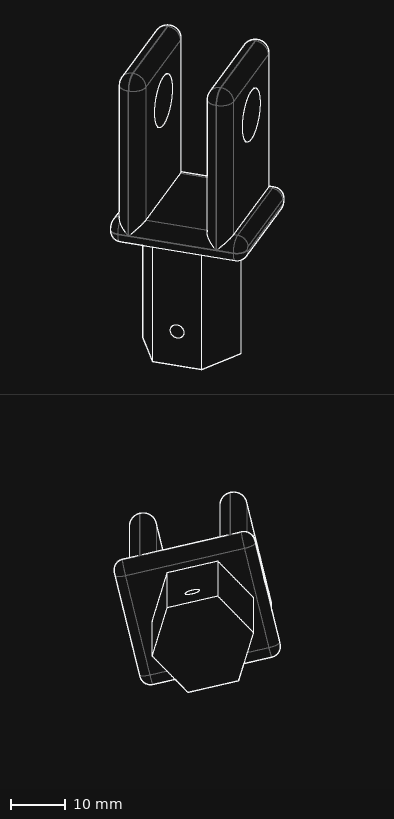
import cadquery as cq

BASE_LENGTH = 26.36
BASE_WIDTH = 24.2
BASE_THICKNESS = 5.0
BASE_END_RADIUS = 2.0

EAR_THICKNESS = 5.0
EAR_GAP = 12.0
EAR_MIDDLE_X = -0.6
LONG_EDGE_RADIUS = 2.45
PIN_HOLE_DIAMETER = 10.0
PIN_HOLE_BELOW_TOP = 10.2

SHANK_LENGTH = 25.0
SHANK_ACROSS_CORNERS = 19.05
SHANK_X = -1.1
SHANK_Y = 0.2
CROSS_HOLE_DIAMETER = 2.69
CROSS_HOLE_HEIGHT = 7.1

TOTAL_HEIGHT = 60.0

base_middle_z = SHANK_LENGTH + BASE_THICKNESS / 2
ear_offset = (EAR_GAP + EAR_THICKNESS) / 2
pin_hole_z = TOTAL_HEIGHT - PIN_HOLE_BELOW_TOP


def make_base():
    """Plate with rounded edges, its ends rounded a little tighter than its long sides."""
    plate = cq.Workplane("XY", origin=(0, 0, SHANK_LENGTH))
    plate = plate.box(BASE_LENGTH, BASE_WIDTH, BASE_THICKNESS, centered=(True, True, False))
    plate = plate.edges("|X").fillet(LONG_EDGE_RADIUS)
    return plate.faces("<X or >X").edges().fillet(BASE_END_RADIUS)


def make_ear(center_x):
    """Upright plate, rounded on every edge but the foot, which sits inside the base."""
    ear = cq.Workplane("XY", origin=(center_x, 0, base_middle_z))
    ear = ear.box(EAR_THICKNESS, BASE_WIDTH, TOTAL_HEIGHT - base_middle_z, centered=(True, True, False))
    return ear.edges("|Z or >Z").fillet(LONG_EDGE_RADIUS)


def make_shank():
    """Hexagonal prism with two corners pointing along X."""
    shank = cq.Workplane("XY", origin=(SHANK_X, SHANK_Y, 0))
    return shank.polygon(6, SHANK_ACROSS_CORNERS).extrude(SHANK_LENGTH)


def make_pin_hole():
    """Cutter along X through both ears, in line with the shank in Y."""
    cutter = cq.Workplane("YZ", origin=(0, SHANK_Y, pin_hole_z))
    return cutter.circle(PIN_HOLE_DIAMETER / 2).extrude(BASE_LENGTH, both=True)


def make_cross_hole():
    """Cutter along Y through the shank."""
    cutter = cq.Workplane("XZ", origin=(SHANK_X, SHANK_Y, CROSS_HOLE_HEIGHT))
    return cutter.circle(CROSS_HOLE_DIAMETER / 2).extrude(BASE_WIDTH, both=True)


body = make_base().union(make_shank())
for side in (-1, 1):
    body = body.union(make_ear(EAR_MIDDLE_X + side * ear_offset))

result = body.cut(make_pin_hole()).cut(make_cross_hole())